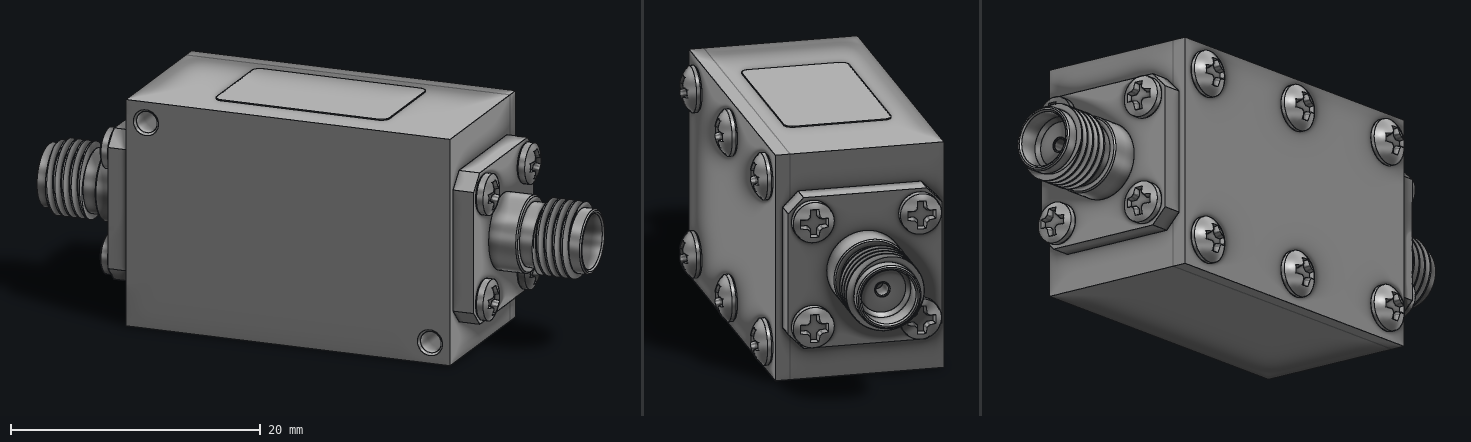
import cadquery as cq
import math

BODY_LENGTH = 28.0
BODY_WIDTH = 13.95
BODY_HEIGHT = 19.02
LID_THICKNESS = 1.22

LABEL_LENGTH = 14.95
LABEL_WIDTH = 8.85
LABEL_CORNER_RADIUS = 0.7
LABEL_THICKNESS = 0.1

HOLE_DIAMETER = 1.8
HOLE_MOUTH_DIAMETER = 2.15
HOLE_EDGE_DISTANCE = 1.75
HOLE_DEPTH = 3.75
DRILL_POINT_ANGLE = 118.0

FLANGE_SIZE = 12.7
FLANGE_THICKNESS = 1.8
FLANGE_CORNER_CHAMFER = 1.25

OVERALL_LENGTH = 47.1
BARREL_LENGTH = (OVERALL_LENGTH - BODY_LENGTH) / 2 - FLANGE_THICKNESS
HUB_DIAMETER = 6.35
HUB_LENGTH = 2.45
NECK_DIAMETER = 5.3
TIP_LENGTH = 1.05
BARREL_CHAMFER = 0.12

BORE_MOUTH_DIAMETER = 4.8
BORE_MOUTH_DEPTH = 0.15
BORE_DIAMETER = 4.5
BORE_DEPTH = 2.1
BORE_FLOOR_DIAMETER = 3.8
BORE_FLOOR_TAPER_LENGTH = 0.3
CONTACT_DIAMETER = 1.25
CONTACT_RECESS = 0.1
CONTACT_HOLE_DIAMETER = 1.05
CONTACT_HOLE_DEPTH = 1.9

THREAD_DIAMETER = 6.35
THREAD_ROOT_DIAMETER = 5.1
THREAD_PITCH = 0.7
THREAD_LENGTH = 3.05
THREAD_RIDGE_WIDTH = 0.65
THREAD_CREST_WIDTH = 0.15
THREAD_ROOT_OVERLAP = 0.05

FLANGE_SCREW_SPACING = 8.85
FLANGE_SCREW_DIAMETER = 3.4
FLANGE_SCREW_RIM = 0.7
FLANGE_SCREW_HEIGHT = 1.22
LID_SCREW_SPACING_X = 11.5
LID_SCREW_SPACING_Z = 13.95
LID_SCREW_DIAMETER = 3.8
LID_SCREW_RIM = 0.45
LID_SCREW_HEIGHT = 1.35
RIM_CHAMFER = 0.15

RECESS_DEPTH = 0.65
RECESS_ARM_LENGTH = 1.22
RECESS_ARM_WIDTH = 0.85
RECESS_CORNER = 0.6
RECESS_TAPER = 15.0


def make_housing():
    block = cq.Workplane("XY").box(BODY_LENGTH, BODY_WIDTH - LID_THICKNESS, BODY_HEIGHT)
    block = block.translate((0, -LID_THICKNESS / 2, 0))
    lid = cq.Workplane("XY").box(BODY_LENGTH, LID_THICKNESS, BODY_HEIGHT)
    lid = lid.translate((0, (BODY_WIDTH - LID_THICKNESS) / 2, 0))
    return block.union(lid, clean=False)


def make_label():
    label = cq.Workplane("XY").workplane(offset=BODY_HEIGHT / 2)
    label = label.rect(LABEL_LENGTH, LABEL_WIDTH).extrude(LABEL_THICKNESS)
    return label.edges("|Z").fillet(LABEL_CORNER_RADIUS)


def make_mounting_hole():
    """Cutter along +Y: a countersunk mouth, a straight bore and a conical bottom."""
    radius = HOLE_DIAMETER / 2
    mouth_radius = HOLE_MOUTH_DIAMETER / 2
    point_length = radius / math.tan(math.radians(DRILL_POINT_ANGLE / 2))
    profile = cq.Workplane("XY").polyline([
        (0, 0),
        (mouth_radius, 0),
        (radius, mouth_radius - radius),
        (radius, HOLE_DEPTH),
        (0, HOLE_DEPTH + point_length),
    ]).close()
    return profile.revolve(360, (0, 0, 0), (0, 1, 0))


def make_cross_recess():
    """Tapered cross, cut downwards from the plane Z = 0."""
    half_width = RECESS_ARM_WIDTH / 2
    arm = [
        (RECESS_ARM_LENGTH, -half_width),
        (RECESS_ARM_LENGTH, half_width),
        (RECESS_CORNER, half_width),
        (half_width, RECESS_CORNER),
    ]
    outline = []
    for _ in range(4):
        outline.extend(arm)
        arm = [(-y, x) for x, y in arm]
    return cq.Workplane("XY").polyline(outline).close().extrude(-RECESS_DEPTH, taper=RECESS_TAPER)


def make_screw_head(diameter, rim_height, height):
    """Domed head standing on Z = 0 with a cross recess in its crown."""
    radius = diameter / 2
    dome_height = height - rim_height
    dome_radius = (radius ** 2 + dome_height ** 2) / (2 * dome_height)
    half_angle = math.asin(radius / dome_radius) / 2
    dome_middle = (
        dome_radius * math.sin(half_angle),
        height - dome_radius * (1 - math.cos(half_angle)),
    )
    profile = (
        cq.Workplane("XZ")
        .moveTo(0, 0)
        .lineTo(radius - RIM_CHAMFER, 0)
        .lineTo(radius, RIM_CHAMFER)
        .lineTo(radius, rim_height)
        .threePointArc(dome_middle, (0, height))
        .close()
    )
    head = profile.revolve(360, (0, 0, 0), (0, 1, 0))
    return head.cut(make_cross_recess().translate((0, 0, height)))


def make_flange():
    flange = cq.Workplane("XY").rect(FLANGE_SIZE, FLANGE_SIZE).extrude(FLANGE_THICKNESS)
    return flange.edges("|Z").chamfer(FLANGE_CORNER_CHAMFER)


def make_thread(start, length):
    """Helical ridge around Z, trimmed flat at both ends of the threaded length."""
    root_radius = THREAD_ROOT_DIAMETER / 2 - THREAD_ROOT_OVERLAP
    crest_radius = THREAD_DIAMETER / 2
    helix = cq.Wire.makeHelix(THREAD_PITCH, length + 2 * THREAD_PITCH, root_radius)
    ridge = cq.Workplane("XZ").polyline([
        (root_radius, -THREAD_RIDGE_WIDTH / 2),
        (crest_radius, -THREAD_CREST_WIDTH / 2),
        (crest_radius, THREAD_CREST_WIDTH / 2),
        (root_radius, THREAD_RIDGE_WIDTH / 2),
    ]).close().sweep(cq.Workplane(obj=helix), isFrenet=True)
    ridge = ridge.translate((0, 0, start - THREAD_PITCH))
    threaded_zone = cq.Workplane("XY").workplane(offset=start).circle(THREAD_DIAMETER).extrude(length)
    return ridge.intersect(threaded_zone)


def make_barrel():
    """Stepped and threaded barrel standing on Z = 0, bored from its tip."""
    thread_end = BARREL_LENGTH - TIP_LENGTH
    thread_start = thread_end - THREAD_LENGTH
    hub_radius = HUB_DIAMETER / 2
    neck_radius = NECK_DIAMETER / 2
    root_radius = THREAD_ROOT_DIAMETER / 2
    barrel = cq.Workplane("XZ").polyline([
        (0, 0),
        (hub_radius, 0),
        (hub_radius, HUB_LENGTH - BARREL_CHAMFER),
        (hub_radius - BARREL_CHAMFER, HUB_LENGTH),
        (neck_radius, HUB_LENGTH),
        (neck_radius, thread_start),
        (root_radius, thread_start),
        (root_radius, thread_end),
        (neck_radius, thread_end),
        (neck_radius, BARREL_LENGTH - BARREL_CHAMFER),
        (neck_radius - BARREL_CHAMFER, BARREL_LENGTH),
        (0, BARREL_LENGTH),
    ]).close().revolve(360, (0, 0, 0), (0, 1, 0))
    barrel = barrel.union(make_thread(thread_start, THREAD_LENGTH))

    floor = BARREL_LENGTH - BORE_DEPTH
    bore = cq.Workplane("XZ").polyline([
        (0, BARREL_LENGTH),
        (BORE_MOUTH_DIAMETER / 2, BARREL_LENGTH),
        (BORE_DIAMETER / 2, BARREL_LENGTH - BORE_MOUTH_DEPTH),
        (BORE_DIAMETER / 2, floor + BORE_FLOOR_TAPER_LENGTH),
        (BORE_FLOOR_DIAMETER / 2, floor),
        (CONTACT_DIAMETER / 2, floor),
        (CONTACT_DIAMETER / 2, floor - CONTACT_RECESS),
        (CONTACT_HOLE_DIAMETER / 2, floor - CONTACT_RECESS),
        (CONTACT_HOLE_DIAMETER / 2, floor - CONTACT_HOLE_DEPTH),
        (0, floor - CONTACT_HOLE_DEPTH),
    ]).close().revolve(360, (0, 0, 0), (0, 1, 0))
    return barrel.cut(bore)


def make_connector():
    """Flange, barrel and four screws, standing on the +X end of the housing."""
    connector = make_flange().union(make_barrel().translate((0, 0, FLANGE_THICKNESS)))
    screw = make_screw_head(FLANGE_SCREW_DIAMETER, FLANGE_SCREW_RIM, FLANGE_SCREW_HEIGHT)
    half_spacing = FLANGE_SCREW_SPACING / 2
    for x in (-half_spacing, half_spacing):
        for y in (-half_spacing, half_spacing):
            connector = connector.union(screw.translate((x, y, FLANGE_THICKNESS)))
    connector = connector.rotate((0, 0, 0), (0, 1, 0), 90)
    return connector.translate((BODY_LENGTH / 2, 0, 0))


part = make_housing().union(make_label(), clean=False)

hole = make_mounting_hole()
hole_x = BODY_LENGTH / 2 - HOLE_EDGE_DISTANCE
hole_z = BODY_HEIGHT / 2 - HOLE_EDGE_DISTANCE
for x, z in ((-hole_x, hole_z), (hole_x, -hole_z)):
    part = part.cut(hole.translate((x, -BODY_WIDTH / 2, z)), clean=False)

lid_screw = make_screw_head(LID_SCREW_DIAMETER, LID_SCREW_RIM, LID_SCREW_HEIGHT)
lid_screw = lid_screw.rotate((0, 0, 0), (1, 0, 0), -90)
for column in (-1, 0, 1):
    for row in (-1, 1):
        place = (column * LID_SCREW_SPACING_X, BODY_WIDTH / 2, row * LID_SCREW_SPACING_Z / 2)
        part = part.union(lid_screw.translate(place), clean=False)

connector = make_connector()
for turn in (0, 180):
    part = part.union(connector.rotate((0, 0, 0), (0, 0, 1), turn), clean=False)

result = cq.Workplane(obj=part.solids().val())